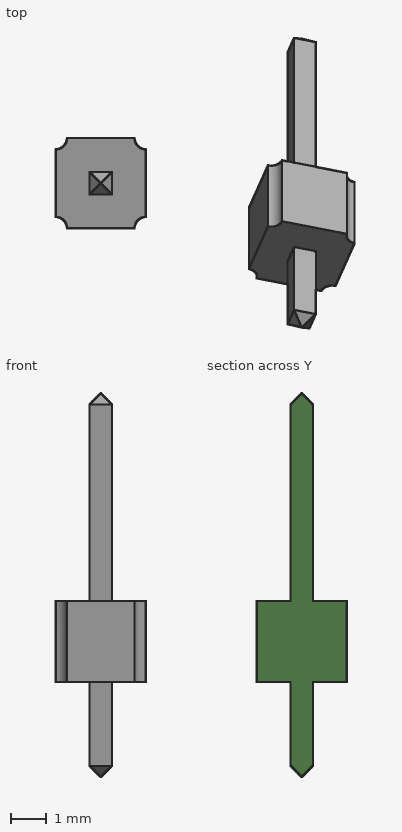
import cadquery as cq

pitch = 2.54
block_height = 2.28
notch_radius = pitch / 8
pin_width = pitch / 4
tip_height = pin_width / 2
total_length = 10.79
tail_length = 2.67

pin_bottom = -tail_length
pin_top = pin_bottom + total_length


def make_block():
    """Square block with a concave quarter-round along each vertical edge."""
    half = pitch / 2
    block = cq.Workplane("XY").rect(pitch, pitch).extrude(block_height)
    corners = [(x, y) for x in (-half, half) for y in (-half, half)]
    notches = cq.Workplane("XY").pushPoints(corners).circle(notch_radius).extrude(block_height)
    return block.cut(notches)


def make_tip(base_z, direction):
    """Square pyramid on the pin end at base_z, pointing up (+1) or down (-1)."""
    half = pin_width / 2
    apex = cq.Vector(0, 0, base_z + direction * tip_height)
    base = [
        cq.Vector(-half, -half, base_z),
        cq.Vector(half, -half, base_z),
        cq.Vector(half, half, base_z),
        cq.Vector(-half, half, base_z),
    ]
    faces = [cq.Face.makeFromWires(cq.Wire.makePolygon(base, close=True))]
    for start, end in zip(base, base[1:] + base[:1]):
        side = cq.Wire.makePolygon([start, end, apex], close=True)
        faces.append(cq.Face.makeFromWires(side))
    return cq.Workplane(obj=cq.Solid.makeSolid(cq.Shell.makeShell(faces)))


def make_pin():
    """Square pin, pointed at both ends."""
    shaft_bottom = pin_bottom + tip_height
    shaft_top = pin_top - tip_height
    shaft = (
        cq.Workplane("XY")
        .workplane(offset=shaft_bottom)
        .rect(pin_width, pin_width)
        .extrude(shaft_top - shaft_bottom)
    )
    return shaft.union(make_tip(shaft_top, 1)).union(make_tip(shaft_bottom, -1))


result = make_block().union(make_pin()).solids()